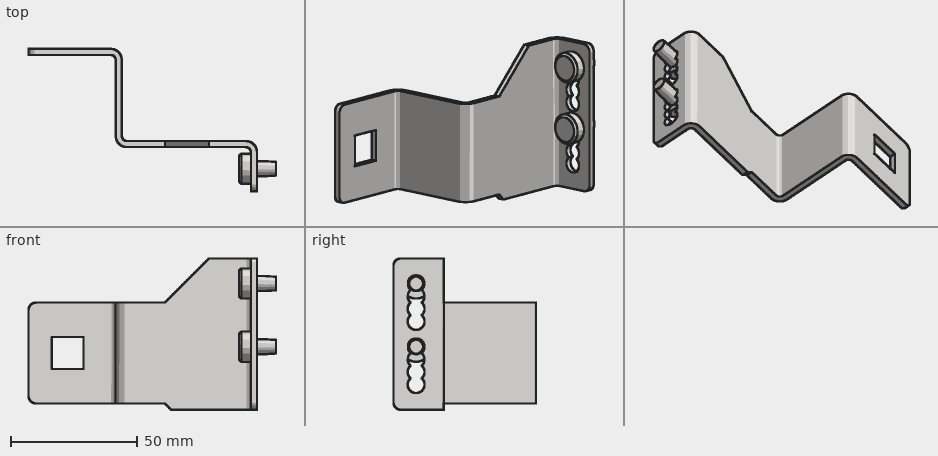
import cadquery as cq

thickness = 2.5
inner_bend_radius = 2.0
outer_bend_radius = inner_bend_radius + thickness
corner_radius = 3.0

bracket_length = 90.5
bracket_depth = 56.5
bracket_height = 60.0
step_wall_x = 34.5
middle_panel_back_y = 20.0
middle_panel_front_y = middle_panel_back_y - thickness
rear_panel_front_y = bracket_depth - thickness
flange_inner_x = bracket_length - thickness

strip_bottom_z = 2.5
strip_height = 40.0
strip_top_z = strip_bottom_z + strip_height
taper_start_x = 54.0

square_hole_size = 12.5
square_hole_x = 15.5
square_hole_z = strip_bottom_z + strip_height / 2

slot_hole_diameter = 6.6
slot_hole_pitch = 5.0
holes_per_slot = 4
slot_center_y = 9.0
screw_heights = [25.0, 50.0]

head_diameter = 12.0
head_length = 4.75
head_chamfer = 1.0
shank_diameter = 6.0
tip_diameter = 5.5
shank_protrusion = 3.5
tip_length = 4.0


def make_bent_strip():
    """Full-height strip with two step bends and one flange bend."""
    profile = (
        cq.Workplane("XY")
        .moveTo(0, bracket_depth)
        .lineTo(step_wall_x + thickness, bracket_depth)
        .lineTo(step_wall_x + thickness, middle_panel_back_y)
        .lineTo(bracket_length, middle_panel_back_y)
        .lineTo(bracket_length, 0)
        .lineTo(flange_inner_x, 0)
        .lineTo(flange_inner_x, middle_panel_front_y)
        .lineTo(step_wall_x, middle_panel_front_y)
        .lineTo(step_wall_x, rear_panel_front_y)
        .lineTo(0, rear_panel_front_y)
        .close()
    )
    strip = profile.extrude(bracket_height)
    outer_bends = [
        (step_wall_x + thickness, bracket_depth),
        (step_wall_x, middle_panel_front_y),
        (bracket_length, middle_panel_back_y),
    ]
    inner_bends = [
        (step_wall_x, rear_panel_front_y),
        (step_wall_x + thickness, middle_panel_back_y),
        (flange_inner_x, middle_panel_front_y),
    ]
    for bends, radius in ((outer_bends, outer_bend_radius), (inner_bends, inner_bend_radius)):
        for x, y in bends:
            edge = cq.selectors.NearestToPointSelector((x, y, bracket_height / 2))
            strip = strip.edges(edge).fillet(radius)
    return strip


def make_front_outline():
    """Block whose XZ outline trims the strip to its narrow and wide heights."""
    top_rise = bracket_height - strip_top_z
    outline = (
        cq.Workplane("XZ")
        .moveTo(0, strip_bottom_z)
        .lineTo(taper_start_x, strip_bottom_z)
        .lineTo(taper_start_x + strip_bottom_z, 0)
        .lineTo(bracket_length, 0)
        .lineTo(bracket_length, bracket_height)
        .lineTo(taper_start_x + top_rise, bracket_height)
        .lineTo(taper_start_x, strip_top_z)
        .lineTo(0, strip_top_z)
        .close()
    )
    block = outline.extrude(-bracket_depth)
    return block.edges("|Y and <X").fillet(corner_radius)


def make_square_hole():
    return (
        cq.Workplane("XY")
        .box(square_hole_size, thickness, square_hole_size, centered=(True, False, True))
        .translate((square_hole_x, rear_panel_front_y, square_hole_z))
    )


def make_slot_holes():
    """Overlapping holes running down from each screw position."""
    centers = [
        (slot_center_y, screw_z - index * slot_hole_pitch)
        for screw_z in screw_heights
        for index in range(holes_per_slot)
    ]
    return (
        cq.Workplane("YZ", origin=(flange_inner_x, 0, 0))
        .pushPoints(centers)
        .circle(slot_hole_diameter / 2)
        .extrude(thickness)
    )


def make_bracket():
    bracket = make_bent_strip().intersect(make_front_outline())
    bracket = bracket.edges("|X and <Y").fillet(corner_radius)
    bracket = bracket.cut(make_square_hole())
    return bracket.cut(make_slot_holes())


def make_screw(screw_z):
    """Chamfered round head on the flange's inner face, with a shank tapering at its tip."""
    shank_end = thickness + shank_protrusion
    half_section = (
        cq.Workplane("XY")
        .moveTo(-head_length, 0)
        .lineTo(-head_length, head_diameter / 2 - head_chamfer)
        .lineTo(-head_length + head_chamfer, head_diameter / 2)
        .lineTo(0, head_diameter / 2)
        .lineTo(0, shank_diameter / 2)
        .lineTo(shank_end, shank_diameter / 2)
        .lineTo(shank_end + tip_length, tip_diameter / 2)
        .lineTo(shank_end + tip_length, 0)
        .close()
    )
    screw = half_section.revolve(360, (0, 0, 0), (1, 0, 0))
    return screw.translate((flange_inner_x, slot_center_y, screw_z))


bracket = make_bracket()
screws = [make_screw(screw_z) for screw_z in screw_heights]

result = cq.Compound.makeCompound([bracket.val(), *[screw.val() for screw in screws]])